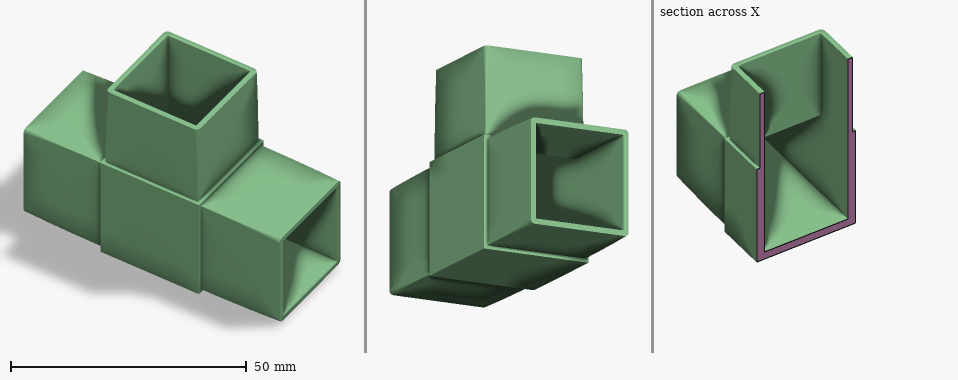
import cadquery as cq
import math

length = 65.0
hub = 25.0
spigot_side = 23.4
bore_side = 21.0
tip_radius = 1.0

spigot_length = (length - hub) / 2
tip_distance = length / 2
rounding_stations = (0.0, 0.3, 0.6, 0.9)
clearance = 0.3


def corner_section(fraction):
    """Region outside the rounded +X +Y corner at one station along the spigot."""
    radius = tip_radius * (1 - fraction) ** 2
    face = spigot_side / 2
    outside = face + clearance
    tangent = face - radius
    arc_middle = tangent + radius * math.sqrt(0.5)
    height = tip_distance - fraction * spigot_length
    return (
        cq.Workplane("XY", origin=(0, 0, height))
        .moveTo(face, tangent)
        .lineTo(outside, tangent)
        .lineTo(outside, outside)
        .lineTo(tangent, outside)
        .lineTo(tangent, face)
        .threePointArc((arc_middle, arc_middle), (face, tangent))
        .close()
        .val()
    )


def make_spigot():
    """Solid upright spigot, reaching from the hub centre to its tip."""
    spigot = cq.Workplane("XY").rect(spigot_side, spigot_side).extrude(tip_distance)
    sections = [corner_section(fraction) for fraction in rounding_stations]
    cutter = cq.Workplane(cq.Solid.makeLoft(sections))
    for angle in (0, 90, 180, 270):
        spigot = spigot.cut(cutter.rotate((0, 0, 0), (0, 0, 1), angle))
    return spigot


up_spigot = make_spigot()
body = cq.Workplane("XY").box(hub, hub, hub).union(up_spigot)
for tilt in (-90, 90):
    body = body.union(up_spigot.rotate((0, 0, 0), (0, 1, 0), tilt))

through_bore = cq.Workplane("XY").box(length, bore_side, bore_side)
branch_bore = cq.Workplane("XY").rect(bore_side, bore_side).extrude(tip_distance)

result = body.cut(through_bore).cut(branch_bore)